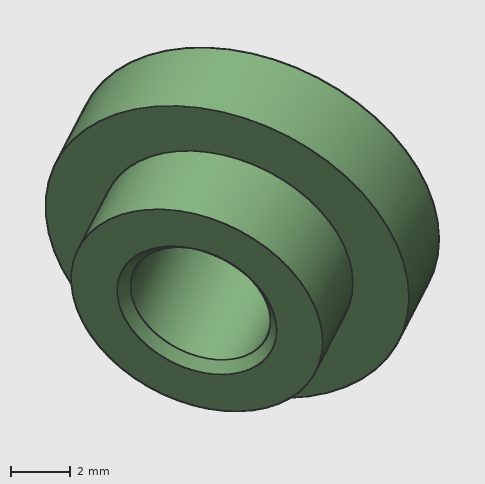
import cadquery as cq

flange_diameter = 13.0
boss_diameter = 9.0
bore_diameter = 5.0
section_length = 3.0
bore_chamfer = 0.35

flange_radius = flange_diameter / 2
boss_radius = boss_diameter / 2
bore_radius = bore_diameter / 2

half_section = (
    cq.Workplane("XY")
    .moveTo(bore_radius, section_length)
    .lineTo(flange_radius, section_length)
    .lineTo(flange_radius, 0)
    .lineTo(boss_radius, 0)
    .lineTo(boss_radius, -section_length)
    .lineTo(bore_radius + bore_chamfer, -section_length)
    .lineTo(bore_radius, -section_length + bore_chamfer)
    .close()
)

result = half_section.revolve(360, (0, 0, 0), (0, 1, 0))